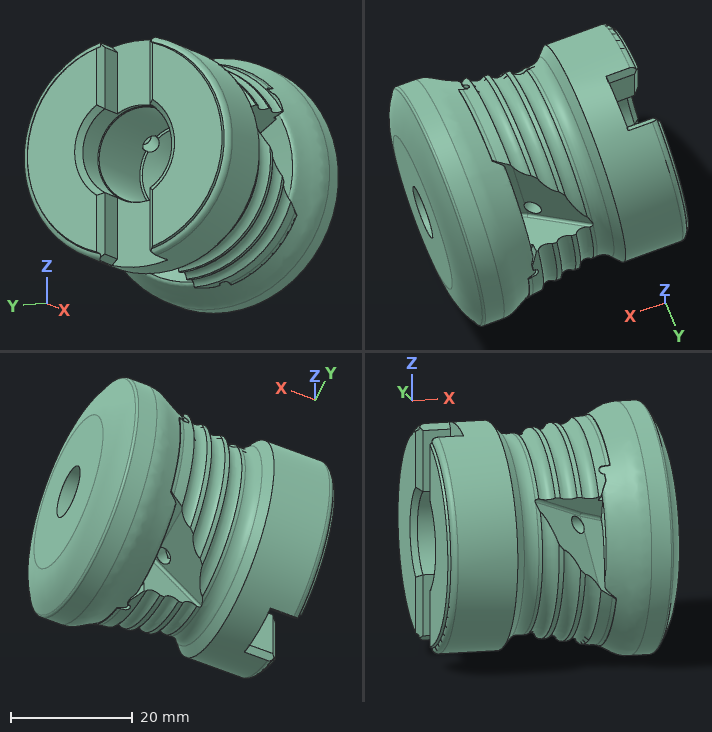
import cadquery as cq

LENGTH = 39.95
AXIS_START = cq.Vector(0, 0, 0)
AXIS_END = cq.Vector(1, 0, 0)

COLLAR_R = 38.0 / 2
COLLAR_END = 11.55
RIM_R = 17.85
RIM_STEP = (0.45, 18.0)
RIM_ROUND = 1.0

THROAT_R = 16.65
SHOULDER_END = (13.0, 17.45)
THROAT_START = 15.65
GROOVE_DEPTH = 0.7
GROOVES = [
    ((16.3, THROAT_R), (18.9, 17.45)),
    ((19.72, 17.45), (22.4, 18.05)),
    ((23.25, 18.05), (25.9, 18.7)),
]
LIP = (27.85, 18.95)
NECK_END = 28.55
NECK_END_R = 19.18

BULGE_START = 26.75
BULGE_R = 21.0
BULGE_FRONT_R = 17.62
BULGE_ROOT_R = 7.97
FLARE_START = (27.7, 18.6)
FLARE_END = (30.65, 20.05)
BULGE_FLAT = (33.7, 37.0)
BULGE_EDGE = (37.43, 20.65)
BACK_MID = (38.85, 18.2)
BACK_R = 13.43

BORE_R = 16.3 / 2
SEAT_R = 16.0 / 2
THROUGH_R = 9.0 / 2
BORE_END = 6.65
SEAT_START = 6.8
CONE_START = 22.0
CONE_R = 7.55

MARGIN = 0.4

SLOT_WIDTH = 8.22
SLOT_DEPTH = 5.65
EDGE_BREAK = 1.0
SLOT_FLARE_R = 17.35

POCKET_ANGLES = (30, 150, 270)
POCKET_TIP = (15.8, 16.32)
POCKET_KNEE = (24.55, 9.4)
POCKET_END = (BULGE_START, 8.22)
WALL_TILT = 0.085
FLOOR_SWEEP = (0.08, 0.22, 1.0)
POCKET_REACH = 25.18
CORNER_FILLET = 0.4

RELIEF_FLOOR = 16.8
NOTCH_R = 0.75
NOTCH = (27.35, -4.8)
RELIEF_KNEE = (27.45, -2.8)
RELIEF_TIP = (26.2, 0.0)
RELIEF_OVERLAP = 0.85

COOLANT_R = 3.0 / 2
COOLANT_ANGLE = 11.3
COOLANT_IN = (21.4, 7.55)
COOLANT_OUT = (23.9, 11.2)
COOLANT_OVERRUN = 1.35


def revolve(profile):
    return profile.close().revolve(360, AXIS_START, AXIS_END)


def groove_bottom(start, end):
    """Deepest point of a groove, below the middle of its chord."""
    return ((start[0] + end[0]) / 2, (start[1] + end[1]) / 2 - GROOVE_DEPTH)


def make_neck():
    profile = (
        cq.Workplane("XY")
        .lineTo(0, RIM_R)
        .lineTo(*RIM_STEP)
        .radiusArc((RIM_STEP[0] + RIM_ROUND, COLLAR_R), RIM_ROUND)
        .lineTo(COLLAR_END, COLLAR_R)
        .lineTo(*SHOULDER_END)
        .tangentArcPoint((THROAT_START, THROAT_R), relative=False)
    )
    for start, end in GROOVES:
        profile = profile.lineTo(*start).threePointArc(groove_bottom(start, end), end)
    return revolve(profile.lineTo(*LIP).lineTo(NECK_END, NECK_END_R).lineTo(NECK_END, 0))


def make_bulge():
    profile = (
        cq.Workplane("XY")
        .moveTo(NECK_END, 0)
        .lineTo(NECK_END, BULGE_ROOT_R)
        .lineTo(BULGE_START, BULGE_FRONT_R)
        .spline(
            [FLARE_START, FLARE_END, (BULGE_FLAT[0], BULGE_R)],
            tangents=[(0, 1), (1, 0)],
            includeCurrent=True,
        )
        .lineTo(BULGE_FLAT[1], BULGE_R)
        .tangentArcPoint(BULGE_EDGE, relative=False)
        .threePointArc(BACK_MID, (LENGTH, BACK_R))
        .lineTo(LENGTH, 0)
    )
    return revolve(profile)


def make_bore():
    cone_end = CONE_START + CONE_R - THROUGH_R
    return revolve(
        cq.Workplane("XY")
        .lineTo(0, BORE_R + EDGE_BREAK)
        .lineTo(EDGE_BREAK, BORE_R)
        .lineTo(BORE_END, BORE_R)
        .lineTo(SEAT_START, SEAT_R)
        .lineTo(CONE_START, SEAT_R)
        .lineTo(CONE_START, CONE_R)
        .lineTo(cone_end, THROUGH_R)
        .lineTo(LENGTH, THROUGH_R)
        .lineTo(LENGTH, 0)
    )


def make_slot():
    half = SLOT_WIDTH / 2
    reach = COLLAR_R + MARGIN
    spread = half + reach - SLOT_FLARE_R
    channel = (
        cq.Workplane("YZ")
        .polyline([
            (half, -SLOT_FLARE_R), (half, SLOT_FLARE_R), (spread, reach), (-spread, reach),
            (-half, SLOT_FLARE_R), (-half, -SLOT_FLARE_R), (-spread, -reach), (spread, -reach),
        ])
        .close()
        .extrude(SLOT_DEPTH)
    )
    mouth = (
        cq.Workplane("XY")
        .polyline([
            (0, half + EDGE_BREAK), (EDGE_BREAK, half), (EDGE_BREAK, -half), (0, -half - EDGE_BREAK),
        ])
        .close()
        .extrude(reach, both=True)
    )
    return channel.union(mouth)


def on_wall(x, radius):
    """Point on the tilted wall plane of the base pocket."""
    return cq.Vector(x, radius, (x - BULGE_START) * WALL_TILT)


def radius_on_line(start, end, x):
    """Radius at x on the straight line through two (x, r) points."""
    return start[1] + (end[1] - start[1]) * (x - start[0]) / (end[0] - start[0])


def make_pocket():
    tip_r = radius_on_line(POCKET_TIP, POCKET_KNEE, 0)
    end_r = radius_on_line(POCKET_KNEE, POCKET_END, NECK_END)
    corners = [(0, tip_r), POCKET_KNEE, (NECK_END, end_r), (NECK_END, tip_r)]
    wall = cq.Wire.makePolygon([on_wall(*corner) for corner in corners], close=True)
    sweep = cq.Vector(*FLOOR_SWEEP) * POCKET_REACH
    pocket = cq.Workplane(cq.Solid.extrudeLinear(wall, [], sweep))
    foot_edges = cq.selectors.BoxSelector((0, 0, -tip_r), (NECK_END - MARGIN, tip_r - MARGIN, MARGIN))
    return pocket.edges(foot_edges).fillet(CORNER_FILLET)


def make_relief():
    """Opening between neck and bulge, ending in a round radial notch."""
    depth = POCKET_REACH - RELIEF_FLOOR
    outline = [
        NOTCH,
        RELIEF_KNEE,
        RELIEF_TIP,
        (RELIEF_TIP[0], RELIEF_OVERLAP),
        (NECK_END, RELIEF_OVERLAP),
        (NECK_END, NOTCH[1] - NOTCH_R),
        (NOTCH[0], NOTCH[1] - NOTCH_R),
    ]
    plane = cq.Workplane("XZ", origin=(0, RELIEF_FLOOR, 0))
    opening = plane.polyline(outline).close().extrude(-depth)
    notch = plane.center(*NOTCH).circle(NOTCH_R).extrude(-depth)
    return opening.union(notch)


def make_coolant_hole():
    direction = cq.Vector(COOLANT_OUT[0] - COOLANT_IN[0], COOLANT_OUT[1] - COOLANT_IN[1], 0)
    start = cq.Vector(*COOLANT_IN, 0) - direction.normalized() * COOLANT_OVERRUN
    length = direction.Length + 2 * COOLANT_OVERRUN
    hole = cq.Solid.makeCylinder(COOLANT_R, length, start, direction)
    return cq.Workplane(hole).rotate(AXIS_START, AXIS_END, COOLANT_ANGLE)


def around(shape, angle):
    return shape.rotate(AXIS_START, AXIS_END, angle)


neck = make_neck()
bulge = make_bulge()
for angle in POCKET_ANGLES:
    neck = neck.cut(around(make_pocket(), angle)).cut(around(make_relief(), angle))
result = neck.union(bulge).cut(make_bore()).cut(make_slot())
for angle in POCKET_ANGLES:
    result = result.cut(around(make_coolant_hole(), angle))